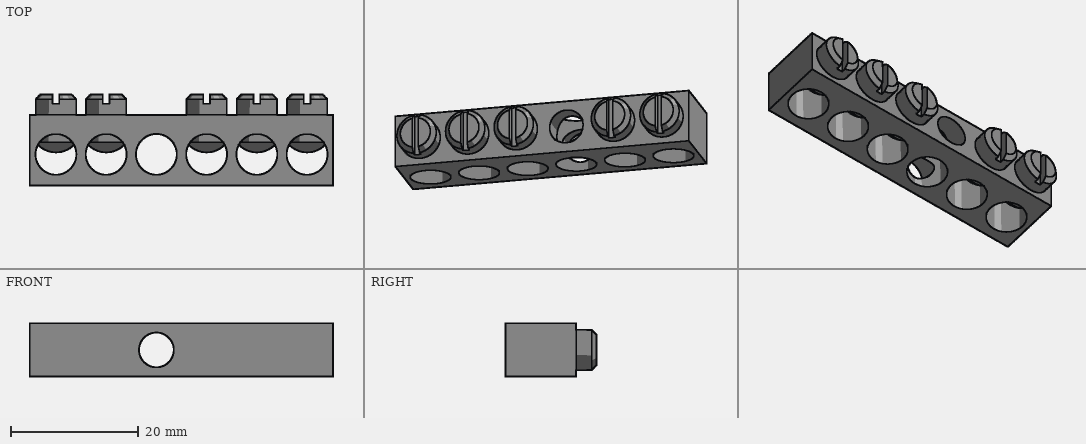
import cadquery as cq

BAR_LENGTH = 47.75
BAR_DEPTH = 11.13
BAR_HEIGHT = 8.4

HOLE_COUNT = 6
HOLE_PITCH = 7.905
WIRE_HOLE_DIAMETER = 6.4
WIRE_HOLE_Y = 4.9

MOUNTING_HOLE_INDEX = 2
MOUNTING_HOLE_DIAMETER = 5.45

SCREW_DIAMETER = 6.4
SCREW_PROJECTION = 3.25
SCREW_SHANK_END_Y = 6.85
SCREW_TIP_HEIGHT = 1.6
SCREW_CHAMFER = 0.75
SLOT_WIDTH = 1.0
SLOT_DEPTH = 1.5

hole_row_start = (BAR_LENGTH - (HOLE_COUNT - 1) * HOLE_PITCH) / 2
hole_xs = [hole_row_start + i * HOLE_PITCH for i in range(HOLE_COUNT)]
mounting_hole_x = hole_xs[MOUNTING_HOLE_INDEX]
screw_xs = [x for x in hole_xs if x != mounting_hole_x]

mid_z = BAR_HEIGHT / 2
screw_radius = SCREW_DIAMETER / 2
screw_head_y = BAR_DEPTH + SCREW_PROJECTION
screw_tip_y = SCREW_SHANK_END_Y - SCREW_TIP_HEIGHT


def make_screw_blank(x):
    """Unslotted screw: chamfered head, plain shank and domed tip, revolved about its axis."""
    dome_radius = (screw_radius**2 + SCREW_TIP_HEIGHT**2) / (2 * SCREW_TIP_HEIGHT)
    dome_centre_y = screw_tip_y + dome_radius
    arc_mid_r = screw_radius / 2
    arc_mid_y = dome_centre_y - (dome_radius**2 - arc_mid_r**2) ** 0.5
    return (
        cq.Workplane("XY")
        .moveTo(0, screw_tip_y)
        .threePointArc((arc_mid_r, arc_mid_y), (screw_radius, SCREW_SHANK_END_Y))
        .lineTo(screw_radius, screw_head_y - SCREW_CHAMFER)
        .lineTo(screw_radius - SCREW_CHAMFER, screw_head_y)
        .lineTo(0, screw_head_y)
        .close()
        .revolve(360, (0, 0, 0), (0, 1, 0))
        .translate((x, 0, mid_z))
    )


def make_screw(x):
    """Clamping screw with a driver slot running vertically across its head."""
    slot = (
        cq.Workplane("XY")
        .box(SLOT_WIDTH, SLOT_DEPTH, SCREW_DIAMETER, centered=(True, False, True))
        .translate((x, screw_head_y - SLOT_DEPTH, mid_z))
    )
    return make_screw_blank(x).cut(slot)


def make_bar():
    """Rectangular bar with wire holes, screw seats that fit the screws and a mounting hole."""
    bar = cq.Workplane("XY").box(BAR_LENGTH, BAR_DEPTH, BAR_HEIGHT, centered=False)
    wire_holes = (
        cq.Workplane("XY")
        .pushPoints([(x, WIRE_HOLE_Y) for x in hole_xs])
        .circle(WIRE_HOLE_DIAMETER / 2)
        .extrude(BAR_HEIGHT)
    )
    bar = bar.cut(wire_holes)
    for x in screw_xs:
        bar = bar.cut(make_screw_blank(x))
    mounting_hole = (
        cq.Workplane("XZ")
        .center(mounting_hole_x, mid_z)
        .circle(MOUNTING_HOLE_DIAMETER / 2)
        .extrude(-BAR_DEPTH)
    )
    return bar.cut(mounting_hole)


terminal_bar = make_bar()
screws = [make_screw(x) for x in screw_xs]

result = cq.Compound.makeCompound([terminal_bar.val(), *[screw.val() for screw in screws]])